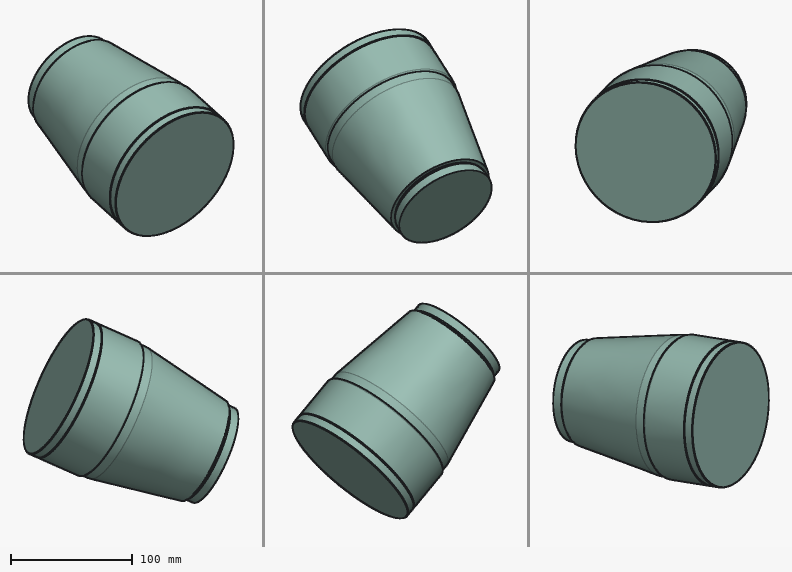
import cadquery as cq
import math

length = 145.5
flange_end = 7.7
neck_start = 9.0
neck_step = 9.6
cone_start = 10.0
cone_end = 89.9
body_start = 97.8
groove_start = 137.0
groove_width = 1.0

flange_radius = 42.6
neck_radius = 41.9
undercut_radius = 41.6
cone_small_radius = 45.2
collar_radius = 59.0
body_radius = 60.5

shoulder_fillet = body_radius - collar_radius
groove_depth = 0.6
rim_chamfer = 0.6

groove_end = groove_start + groove_width
groove_middle = groove_start + groove_width / 2
groove_radius = body_radius - groove_depth
x_min = -length / 2


def revolved_profile():
    """Solid of revolution about X: flange, undercut neck, cone, collar and filleted, V-grooved body."""
    arc_mid = shoulder_fillet * math.sqrt(0.5)
    fillet_center_x = body_start + shoulder_fillet
    profile = (
        cq.Workplane("XZ", origin=(x_min, 0, 0))
        .moveTo(0, 0)
        .lineTo(0, flange_radius)
        .lineTo(flange_end, flange_radius)
        .lineTo(neck_start, neck_radius)
        .lineTo(neck_step, neck_radius)
        .lineTo(neck_step, undercut_radius)
        .lineTo(cone_start, undercut_radius)
        .lineTo(cone_start, cone_small_radius)
        .lineTo(cone_end, collar_radius)
        .lineTo(body_start, collar_radius)
        .threePointArc(
            (fillet_center_x - arc_mid, collar_radius + arc_mid),
            (fillet_center_x, body_radius),
        )
        .lineTo(groove_start, body_radius)
        .lineTo(groove_middle, groove_radius)
        .lineTo(groove_end, body_radius)
        .lineTo(length - rim_chamfer, body_radius)
        .lineTo(length, body_radius - rim_chamfer)
        .lineTo(length, 0)
        .close()
    )
    return profile.revolve(360, (0, 0, 0), (1, 0, 0))


result = revolved_profile()